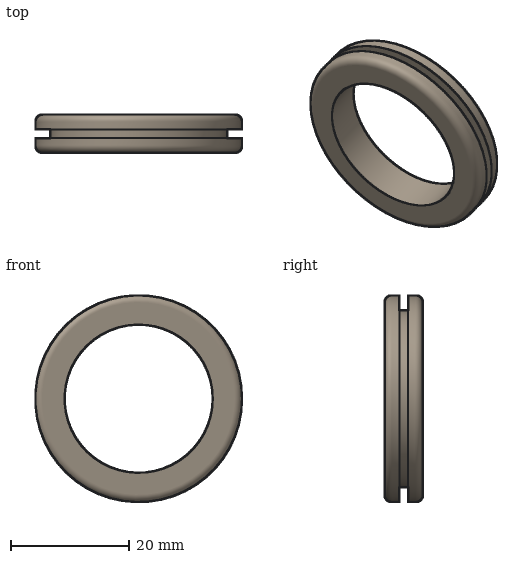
import cadquery as cq

outer_diameter = 35.0
bore_diameter = 25.0
groove_diameter = 30.0
ring_width = 6.5
groove_width = 1.5
rim_radius = 1.2

outer_radius = outer_diameter / 2
bore_radius = bore_diameter / 2
groove_radius = groove_diameter / 2
half_width = ring_width / 2
half_groove = groove_width / 2


def ring_body():
    """Half cross-section in the XY plane, revolved about the Y axis."""
    profile = (
        cq.Workplane("XY")
        .moveTo(bore_radius, -half_width)
        .lineTo(outer_radius - rim_radius, -half_width)
        .radiusArc((outer_radius, -half_width + rim_radius), -rim_radius)
        .lineTo(outer_radius, -half_groove)
        .lineTo(groove_radius, -half_groove)
        .lineTo(groove_radius, half_groove)
        .lineTo(outer_radius, half_groove)
        .lineTo(outer_radius, half_width - rim_radius)
        .radiusArc((outer_radius - rim_radius, half_width), -rim_radius)
        .lineTo(bore_radius, half_width)
        .close()
    )
    return profile.revolve(360, (0, 0, 0), (0, 1, 0))


result = ring_body()